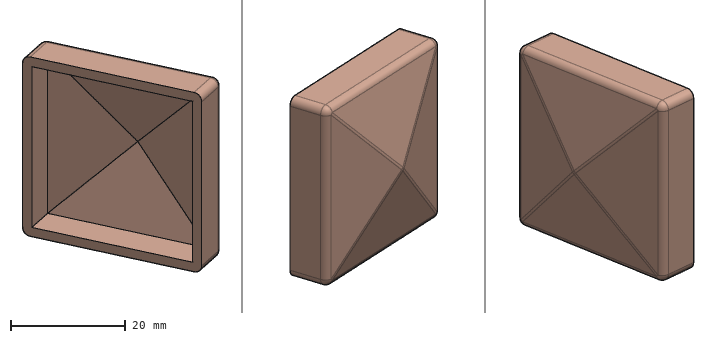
import cadquery as cq
import math

side = 35.0
total_height = 12.0
edge_radius = 1.5
straight_height = 6.5
wall = 1.82

core_side = side - 2 * edge_radius
core_tip = total_height - edge_radius
crown_slope = math.atan2(core_tip - straight_height, core_side / 2)

cavity_side = side - 2 * wall
cavity_tip = core_tip - (wall - edge_radius) / math.cos(crown_slope)
cavity_straight_depth = cavity_tip - cavity_side / 2 * math.tan(crown_slope)


def pyramid(base_side, base_y, tip_y):
    """Square pyramid along +Y, centred on the Y axis."""
    half = base_side / 2
    tip = cq.Vector(0, tip_y, 0)
    corners = [
        cq.Vector(x, base_y, z)
        for x, z in ((-half, -half), (half, -half), (half, half), (-half, half))
    ]
    faces = [cq.Face.makeFromWires(cq.Wire.makePolygon(corners, close=True))]
    for start, end in zip(corners, corners[1:] + corners[:1]):
        slope_outline = cq.Wire.makePolygon([start, end, tip], close=True)
        faces.append(cq.Face.makeFromWires(slope_outline))
    return cq.Workplane(obj=cq.Solid.makeSolid(cq.Shell.makeShell(faces)))


def pointed_block(width, straight_depth, tip_y):
    """Sharp square block from the rim plane Y = 0, ending in a pyramid."""
    block = cq.Workplane("XY").box(width, straight_depth, width, centered=(True, False, True))
    return block.union(pyramid(width, straight_depth, tip_y))


core = pointed_block(core_side, straight_height, core_tip)
rounded_skin = core.faces("<Y").shell(edge_radius, kind="arc")
body = core.union(rounded_skin)

result = body.cut(pointed_block(cavity_side, cavity_straight_depth, cavity_tip))